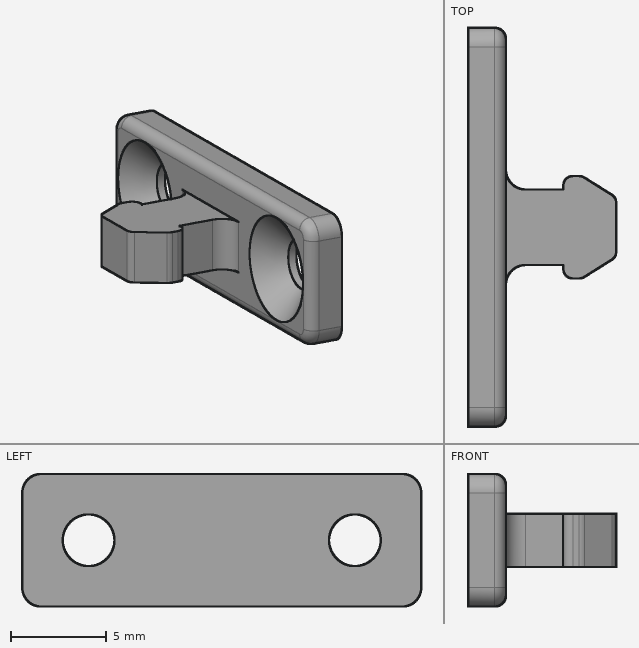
import cadquery as cq

plate_length = 21.0
plate_height = 7.0
plate_thickness = 2.0
plate_corner_radius = 1.0
front_edge_radius = 0.6

hole_diameter = 2.7
hole_spacing = 14.0
countersink_depth = 1.5
countersink_diameter = hole_diameter + 2 * countersink_depth
countersink_angle = 90

hook_thickness = 2.81
neck_width = 4.0
neck_root_radius = 1.0
head_width = 5.4
head_start = 5.0
head_taper_start = 5.98
tip_x = 7.8
tip_width = 3.13
head_edge_radius = 0.5


def make_plate():
    plate = (
        cq.Workplane("YZ")
        .rect(plate_length, plate_height)
        .extrude(plate_thickness)
        .edges("|X")
        .fillet(plate_corner_radius)
        .faces(">X")
        .edges()
        .fillet(front_edge_radius)
    )
    return (
        plate.faces(">X")
        .workplane(origin=(0, 0, 0))
        .pushPoints([(-hole_spacing / 2, 0), (hole_spacing / 2, 0)])
        .cskHole(hole_diameter, countersink_diameter, countersink_angle)
    )


def make_head():
    upper_half = [
        (head_start, head_width / 2),
        (head_taper_start, head_width / 2),
        (tip_x, tip_width / 2),
    ]
    lower_half = [(x, -y) for x, y in reversed(upper_half)]
    return (
        cq.Workplane("XY")
        .polyline(upper_half + lower_half)
        .close()
        .extrude(hook_thickness / 2, both=True)
        .edges("|Z")
        .fillet(head_edge_radius)
    )


def make_neck():
    half_width = neck_width / 2
    root_half_width = half_width + neck_root_radius
    root_end = plate_thickness + neck_root_radius
    arc_offset = neck_root_radius * (1 - 0.5**0.5)
    arc_x = plate_thickness + arc_offset
    arc_y = half_width + arc_offset
    neck_end = head_start + head_edge_radius
    return (
        cq.Workplane("XY")
        .moveTo(plate_thickness, -root_half_width)
        .threePointArc((arc_x, -arc_y), (root_end, -half_width))
        .lineTo(neck_end, -half_width)
        .lineTo(neck_end, half_width)
        .lineTo(root_end, half_width)
        .threePointArc((arc_x, arc_y), (plate_thickness, root_half_width))
        .close()
        .extrude(hook_thickness / 2, both=True)
    )


result = make_plate().union(make_neck()).union(make_head())